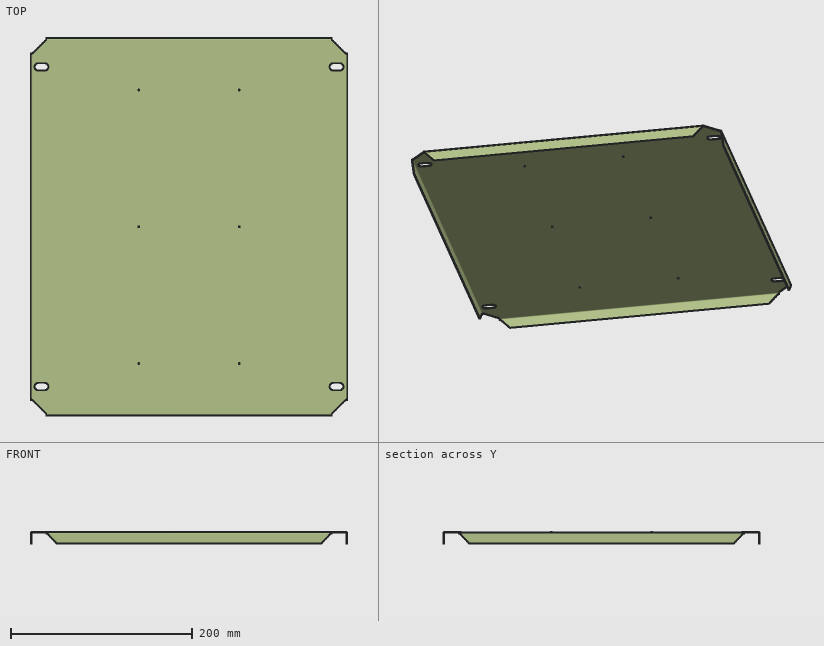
import cadquery as cq

width = 349.0
length = 416.5
height = 13.0
sheet = 1.0
bend_radius = 2.0

corner_cut = 17.0
taper_start = 18.5
flange_end = 28.7

slot_length = 15.0
slot_width = 8.0
slot_spacing_x = 325.5
slot_spacing_y = 352.5

pilot_diameter = 1.0
pilot_columns = 2
pilot_rows = 3
pilot_pitch_x = 111.0
pilot_pitch_y = 151.0


def channel(span, run):
    """Sheet folded down along both sides, span along X and extruded along Y."""
    outer = cq.Workplane("XY").box(span, run, height).edges("|Y and >Z").fillet(bend_radius)
    inner = (
        cq.Workplane("XY")
        .box(span - 2 * sheet, run, height)
        .edges("|Y and >Z")
        .fillet(bend_radius - sheet)
        .translate((0, 0, -sheet))
    )
    return outer.cut(inner).translate((0, 0, height / 2))


def flange_outline(span):
    """Block along Y whose outline tapers the ends of a flange."""
    top_half = span / 2 - corner_cut
    taper_half = span / 2 - taper_start
    bottom_half = span / 2 - flange_end
    taper_top = height - bend_radius
    return (
        cq.Workplane("XZ")
        .moveTo(-bottom_half, 0)
        .lineTo(bottom_half, 0)
        .lineTo(taper_half, taper_top)
        .lineTo(top_half, taper_top)
        .lineTo(top_half, height)
        .lineTo(-top_half, height)
        .lineTo(-top_half, taper_top)
        .lineTo(-taper_half, taper_top)
        .close()
        .extrude(max(width, length), both=True)
    )


def folded_sheet(span, run):
    """Plate with flanges on its two X sides, the flanges tapered at their ends."""
    taper = flange_outline(run).rotate((0, 0, 0), (0, 0, 1), 90)
    return channel(span, run).intersect(taper)


side_folds = folded_sheet(width, length)
end_folds = folded_sheet(length, width).rotate((0, 0, 0), (0, 0, 1), 90)

flat_width = width - 2 * bend_radius
flat_length = length - 2 * bend_radius

flat_plate = (
    cq.Workplane("XY")
    .workplane(offset=height - sheet)
    .rect(flat_width, flat_length)
    .extrude(sheet)
    .edges("|Z")
    .chamfer(corner_cut - bend_radius)
)

plate_core = (
    cq.Workplane("XY")
    .rect(flat_width, flat_length)
    .extrude(height)
)
tray = flat_plate.union(side_folds.cut(plate_core)).union(end_folds.cut(plate_core))

slots = (
    cq.Workplane("XY")
    .rarray(slot_spacing_x, slot_spacing_y, 2, 2)
    .slot2D(slot_length, slot_width)
    .extrude(height)
)
pilot_holes = (
    cq.Workplane("XY")
    .rarray(pilot_pitch_x, pilot_pitch_y, pilot_columns, pilot_rows)
    .circle(pilot_diameter / 2)
    .extrude(height)
)

result = tray.cut(slots).cut(pilot_holes)